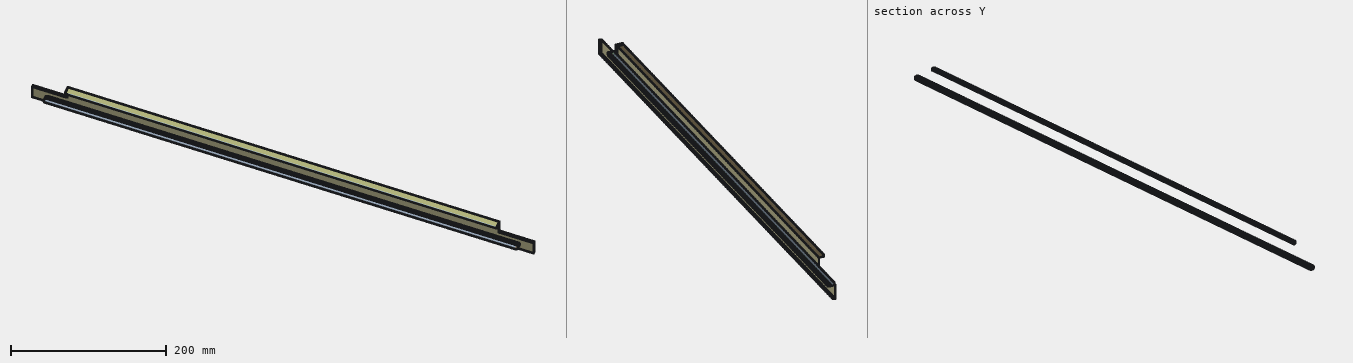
import cadquery as cq
import math

length = 696.0
height = 38.5
plate_thickness = 3.0
ear_length = 48.5
ear_height = 20.5
middle_length = length - 2 * ear_length

flange_depth = 10.0
flange_thickness = 3.0
flange_round = 0.5

depth = 12.1
rib_length = 658.0
rib_height = 5.0
rib_bottom = 7.0
nose_start = 10.0
groove_start = 5.0
groove_end = 7.5
groove_depth = 0.5
rib_half_height = rib_height / 2
rib_center_height = rib_bottom + rib_half_height
rib_end_center = rib_length / 2 - rib_half_height


def strip(x_size, y_depth, z_bottom, z_top):
    """Block centred on X, reaching forward (-Y) from the back face by y_depth."""
    block = cq.Workplane("XY").box(x_size, y_depth, z_top - z_bottom, centered=(True, False, False))
    return block.translate((0, -y_depth, z_bottom))


def make_plate():
    ears = strip(length, plate_thickness, 0, ear_height)
    middle = strip(middle_length, plate_thickness, 0, height)
    return ears.union(middle)


def make_flange():
    flange = strip(middle_length, flange_depth, height - flange_thickness, height)
    return flange.faces("<Y").edges("|X").fillet(flange_round)


def round_ended_bar(half_height, y_back, y_front):
    """Bar with semicircular ends about the rib's end centres, between two depths."""
    total_length = 2 * (rib_end_center + half_height)
    plane = cq.Workplane("XZ", origin=(0, -y_back, rib_center_height))
    return plane.slot2D(total_length, 2 * half_height).extrude(y_front - y_back)


def make_nose():
    """Arched front of the rib: a straight arched length with a dome at each end."""
    nose_depth = depth - nose_start
    arch_radius = (rib_half_height**2 + nose_depth**2) / (2 * nose_depth)
    arch_center = arch_radius - depth
    half_angle = math.asin(rib_half_height / arch_radius) / 2
    arch_middle = (arch_radius * math.sin(half_angle), arch_center - arch_radius * math.cos(half_angle))

    nose = (
        cq.Workplane("YZ", origin=(-rib_end_center, 0, rib_center_height))
        .moveTo(-nose_start, -rib_half_height)
        .threePointArc((-depth, 0), (-nose_start, rib_half_height))
        .close()
        .extrude(2 * rib_end_center)
    )
    for x_center in (-rib_end_center, rib_end_center):
        dome = (
            cq.Workplane("XY", origin=(x_center, 0, rib_center_height))
            .moveTo(0, -depth)
            .threePointArc(arch_middle, (rib_half_height, -nose_start))
            .lineTo(0, -nose_start)
            .close()
            .revolve(360, (0, 0, 0), (0, 1, 0))
        )
        nose = nose.union(dome)
    return nose


def make_rib():
    rib = round_ended_bar(rib_half_height, 0, nose_start).union(make_nose())
    groove_outside = round_ended_bar(rib_height, groove_start, groove_end)
    groove_floor = round_ended_bar(rib_half_height - groove_depth, groove_start, groove_end)
    return rib.cut(groove_outside.cut(groove_floor))


result = make_plate().union(make_flange()).union(make_rib())